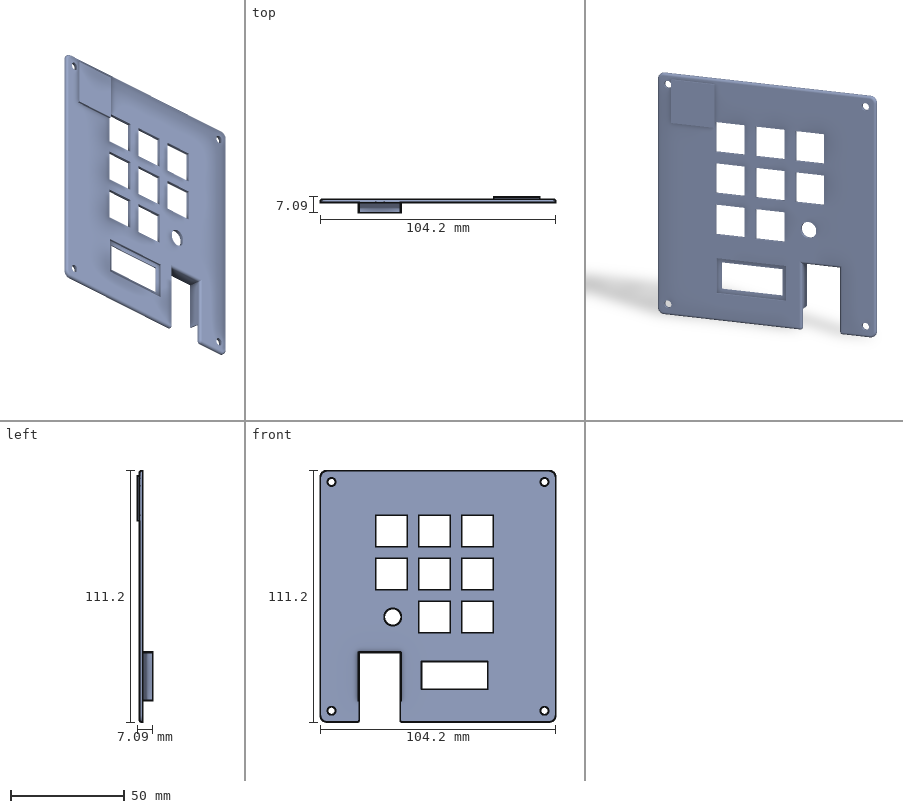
import cadquery as cq

plate_width = 104.2
plate_height = 111.2
plate_thickness = 1.6
corner_radius = 3.0
back_edge_radius = 1.1

screw_hole_diameter = 3.5
screw_hole_inset = 5.0

key_size = 13.9
key_pitch = 19.0
key_grid_x = -1.6
key_grid_z = 9.9
round_hole_diameter = 7.5
round_hole_x = -20.0

window_width = 29.1
window_height = 12.2
window_x = 7.3
window_z = -34.9
window_lip = 0.5
window_ledge = 2.0

slot_width = 18.0
slot_height = 30.6
slot_x = -25.8
slot_mouth_radius = 1.0
hood_wall = 0.5
hood_corner_radius = 0.7
hood_depth = 4.5
hood_bottom_gap = 9.5

pad_width = 20.5
pad_height = 19.9
pad_thickness = 0.99
pad_x = 34.8
pad_z = 43.4

bottom_z = -plate_height / 2
slot_top_z = bottom_z + slot_height


def block(width, height, x, z, y_front, y_back):
    """Box centred on (x, z), reaching from y_front to y_back."""
    depth = y_back - y_front
    return cq.Workplane("XY").box(width, depth, height).translate((x, y_front + depth / 2, z))


def through_block(width, height, x, z):
    """Cutter for a rectangular opening through the plate."""
    return block(width, height, x, z, -plate_thickness, 2 * plate_thickness)


def through_hole(diameter, points):
    """Cutter for round holes through the plate at the given (x, z) points."""
    front = cq.Workplane("XZ", origin=(0, -plate_thickness, 0))
    return front.pushPoints(points).circle(diameter / 2).extrude(-3 * plate_thickness)


def make_plate():
    """Rounded plate with the open slot; the whole outer outline is rounded at the back."""
    plate = block(plate_width, plate_height, 0, 0, 0, plate_thickness)
    plate = plate.edges("|Y").fillet(corner_radius)
    plate = plate.cut(through_block(slot_width, 2 * slot_height, slot_x, bottom_z))
    mouth = cq.selectors.BoxSelector(
        (slot_x - slot_width, -plate_thickness, bottom_z - slot_mouth_radius),
        (slot_x + slot_width, 2 * plate_thickness, bottom_z + slot_mouth_radius),
    )
    plate = plate.edges("|Y").edges(mouth).fillet(slot_mouth_radius)
    return plate.faces(">Y").edges().fillet(back_edge_radius)


def screw_holes():
    x = plate_width / 2 - screw_hole_inset
    z = plate_height / 2 - screw_hole_inset
    return through_hole(screw_hole_diameter, [(-x, -z), (-x, z), (x, -z), (x, z)])


def cut_keys(plate):
    for column in (-1, 0, 1):
        for row in (-1, 0, 1):
            x = key_grid_x + column * key_pitch
            z = key_grid_z + row * key_pitch
            if (column, row) == (-1, -1):
                plate = plate.cut(through_hole(round_hole_diameter, [(round_hole_x, z)]))
            else:
                plate = plate.cut(through_block(key_size, key_size, x, z))
    return plate


def cut_window(plate):
    """Cut the window and the pocket behind it, leaving a thin lip at the front face."""
    pocket = block(window_width + 2 * window_ledge, window_height + 2 * window_ledge,
                   window_x, window_z, window_lip, plate_thickness)
    opening = through_block(window_width, window_height, window_x, window_z)
    return plate.cut(opening).cut(pocket)


def make_hood():
    outer_width = slot_width + 2 * hood_wall
    hood_bottom_z = bottom_z + hood_bottom_gap
    hood_top_z = slot_top_z + hood_wall
    outer_height = hood_top_z - hood_bottom_z
    inner_height = slot_top_z - hood_bottom_z
    outer = block(outer_width, outer_height, slot_x, hood_bottom_z + outer_height / 2, -hood_depth, 0)
    outer = outer.edges("|Y and >Z").fillet(hood_corner_radius)
    inner = block(slot_width, inner_height, slot_x, hood_bottom_z + inner_height / 2, -hood_depth, 0)
    return outer.cut(inner)


def make_pad():
    return block(pad_width, pad_height, pad_x, pad_z, plate_thickness, plate_thickness + pad_thickness)


panel = cut_window(cut_keys(make_plate())).cut(screw_holes())
result = panel.union(make_hood()).union(make_pad())